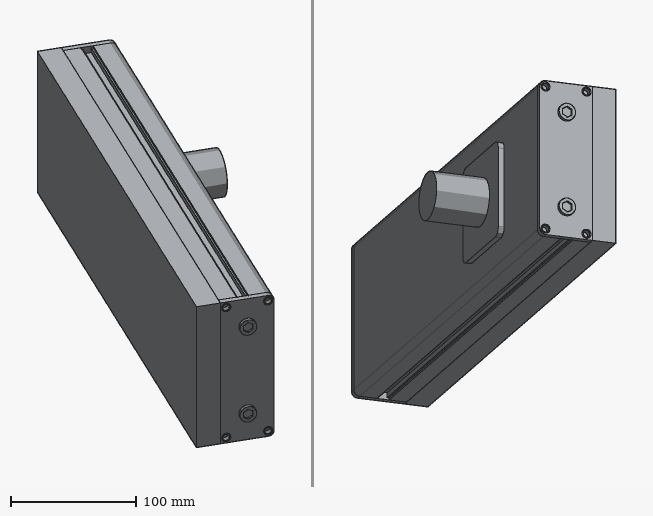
import cadquery as cq
import math

length = 424.0
height = 130.0
pad_depth = 20.0
housing_depth = 45.0
housing_back = pad_depth + housing_depth
back_edge_radius = 5.0

plate_thickness = 5.0
housing_length = length - 2 * plate_thickness
plate_mid_y = pad_depth + housing_depth / 2
screw_edge_inset = 5.0
screw_spacing_y = housing_depth - 2 * screw_edge_inset
screw_spacing_z = height - 2 * screw_edge_inset
screw_recess_diameter = 7.5
screw_hole_diameter = 5.5
screw_recess_depth = 0.3
boss_diameter = 14.0
socket_across_flats = 8.0
socket_depth = 2.0
boss_height = 3.0
boss_spacing = 80.0

slot_y = 40.0
slot_mouth_width = 10.0
slot_mouth_depth = 1.8
slot_width = 7.0
slot_depth = 6.0

connector_end_distance = 120.0
connector_x = connector_end_distance - length / 2
flange_size = 80.0
flange_thickness = 5.0
flange_corner_radius = 7.0
spigot_diameter = 40.0
spigot_length = 45.0


def block(size_x, size_y, size_z, front_y):
    """Box centred on X and Z whose front face lies at front_y."""
    return cq.Workplane("XY").box(size_x, size_y, size_z).translate((0, front_y + size_y / 2, 0))


def rounded_block(size_x):
    """Block with the housing section, rounded along its two back edges."""
    section = block(size_x, housing_depth, height, pad_depth)
    return section.faces(">Y").edges("|X").fillet(back_edge_radius)


def make_pad():
    return block(length, pad_depth, height, 0)


def make_housing():
    housing = rounded_block(housing_length)
    for side in (1, -1):
        for width, depth in ((slot_mouth_width, slot_mouth_depth), (slot_width, slot_depth)):
            groove = cq.Workplane("XY").box(housing_length, width, depth)
            housing = housing.cut(groove.translate((0, slot_y, side * (height - depth) / 2)))
    return housing


def make_left_plate():
    plate = rounded_block(plate_thickness).translate(((plate_thickness - length) / 2, 0, 0))
    outer_face = cq.Workplane("YZ", origin=(-length / 2, plate_mid_y, 0))
    bosses = outer_face.rarray(1, boss_spacing, 1, 2).circle(boss_diameter / 2).extrude(-boss_height)
    socket_across_corners = socket_across_flats / math.cos(math.pi / 6)
    sockets = (
        outer_face.workplane(offset=-boss_height)
        .transformed(rotate=(0, 0, 90))
        .rarray(boss_spacing, 1, 2, 1)
        .polygon(6, socket_across_corners)
        .extrude(socket_depth)
    )
    screw_points = outer_face.rarray(screw_spacing_y, screw_spacing_z, 2, 2)
    screw_holes = screw_points.circle(screw_hole_diameter / 2).extrude(plate_thickness)
    screw_recesses = screw_points.circle(screw_recess_diameter / 2).extrude(screw_recess_depth)
    return plate.union(bosses).cut(sockets).cut(screw_holes).cut(screw_recesses)


def make_connector():
    mount = cq.Workplane("XZ", origin=(connector_x, housing_back, 0))
    flange = mount.rect(flange_size, flange_size).extrude(-flange_thickness)
    flange = flange.edges("|Y").fillet(flange_corner_radius)
    spigot = mount.circle(spigot_diameter / 2).extrude(-(flange_thickness + spigot_length))
    return flange.union(spigot)


pad = make_pad()
housing = make_housing()
left_plate = make_left_plate()
right_plate = left_plate.mirror("YZ")
connector = make_connector()

result = cq.Compound.makeCompound(
    [pad.val(), housing.val(), left_plate.val(), right_plate.val(), connector.val()]
)